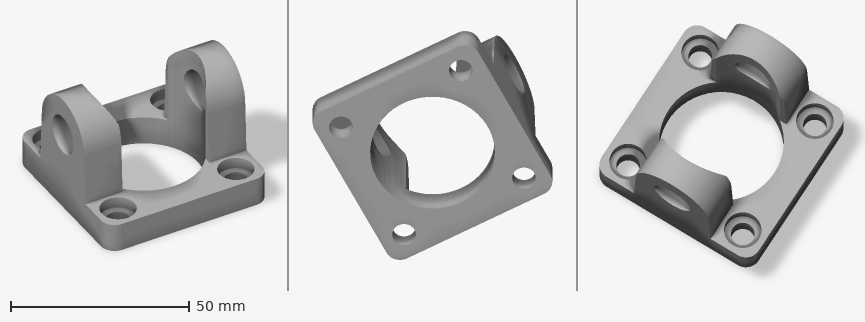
import cadquery as cq
import math

base_side = 52.0
base_height = 9.0
corner_radius = 4.25

bore_diameter = 35.0

hole_pitch = 38.0
hole_diameter = 6.6
counterbore_diameter = 10.5
counterbore_depth = 3.5

total_height = 37.0
lug_radius = 12.0
lug_thickness = 12.0
lug_taper = math.radians(2.5)
pivot_diameter = 12.0
pivot_height = total_height - lug_radius


def make_base():
    return (
        cq.Workplane("XY")
        .box(base_side, base_side, base_height, centered=(True, True, False))
        .edges("|Z")
        .fillet(corner_radius)
    )


def make_lug(front_y):
    """Lug whose outer profile lies at front_y and extends toward +Y."""
    tangent_x = lug_radius * math.cos(lug_taper)
    tangent_z = pivot_height + lug_radius * math.sin(lug_taper)
    foot_z = base_height / 2
    foot_x = tangent_x + (tangent_z - foot_z) * math.tan(lug_taper)
    return (
        cq.Workplane("XZ", origin=(0, front_y, 0))
        .moveTo(-foot_x, foot_z)
        .lineTo(-tangent_x, tangent_z)
        .threePointArc((0, total_height), (tangent_x, tangent_z))
        .lineTo(foot_x, foot_z)
        .close()
        .extrude(-lug_thickness)
    )


def cut_bores(body):
    bore = cq.Workplane("XY").circle(bore_diameter / 2).extrude(total_height)
    pivot = (
        cq.Workplane("XZ")
        .center(0, pivot_height)
        .circle(pivot_diameter / 2)
        .extrude(base_side / 2, both=True)
    )
    return body.cut(bore).cut(pivot)


def cut_mounting_holes(body):
    return (
        body.copyWorkplane(cq.Workplane("XY", origin=(0, 0, base_height)))
        .rarray(hole_pitch, hole_pitch, 2, 2)
        .cboreHole(hole_diameter, counterbore_diameter, counterbore_depth, base_height)
    )


result = make_base()
for lug_front_y in (-base_side / 2, base_side / 2 - lug_thickness):
    result = result.union(make_lug(lug_front_y))
result = cut_bores(result)
result = cut_mounting_holes(result)